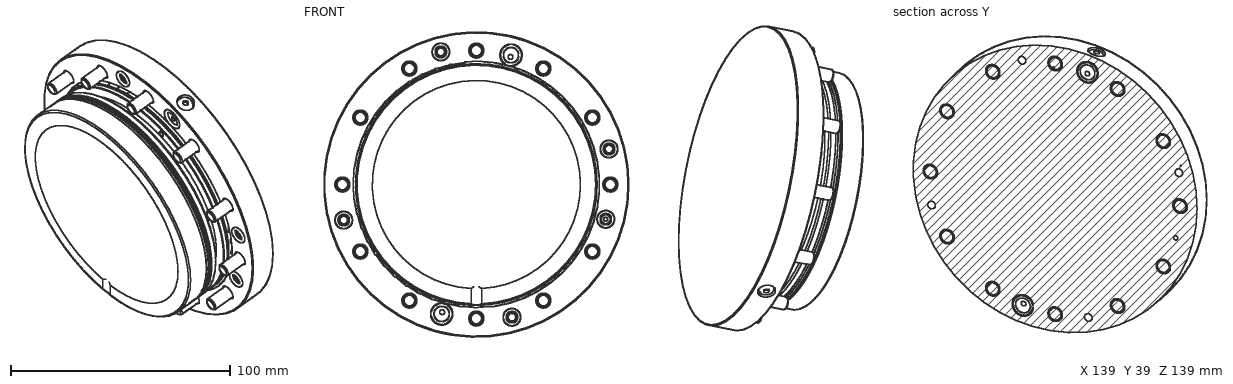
import cadquery as cq
import math


flange_radius = 69.5
flange_thickness = 13.0
flange_chamfer = 0.4

total_length = 39.0
spigot_radius = 55.0
neck_radius = 50.0
shoulder_end = 17.5
shoulder_chamfer = 0.3
neck_end = 21.8
spigot_back_chamfer = 0.8
spigot_end_chamfer = 0.7

barb_start = 25.0
barb_pitch = 1.1
barb_depth = 0.5
barb_wall = 0.3
valley_offsets = (barb_wall, barb_wall, barb_pitch - barb_wall)

recess_rim_radius = 47.4
recess_floor_radius = 45.7
recess_depth = 0.5
relief_width = 4.9

screw_count = 12
bolt_circle_radius = 61.0
screw_diameter = 6.0
screw_tip = 23.9
screw_tip_chamfer = 0.5
clearance_diameter = 6.8
clearance_depth = 2.5

main_port_radius = bolt_circle_radius
small_port_radius = 62.5
small_port_angles = (15, 105, 195, 285)
single_port_angle = -15
main_port_angles = (75, 255)
small_seal_outer = 8.0
main_seal_outer = 9.9
seal_thickness = 1.5
small_seal_standout = 1.3
main_seal_standout = 0.4
small_seat_diameter = 4.9
small_seat_depth = 0.5
main_seat_diameter = 10.1
main_seat_depth = 1.0
small_port_bore = 3.5
single_port_seat = 4.0
single_port_bore = 1.8
main_port_bore = 2.2
main_port_bore_radius = 60.2
port_depth = 7.0

root_seal_outer = 112.3
root_seal_standout = 1.4
root_groove_radius = 54.8
root_groove_end = 15.2

plug_pocket_diameter = 8.0
plug_pocket_depth = 2.2
plug_head_diameter = 7.5
plug_head_flat = 4.9
plug_head_height = 2.0
plug_socket_diameter = 2.5
plug_socket_depth = 1.4
vent_diameter = 2.5
vent_radius = 52.0
vent_depth = 4.2


def at_angle(radius, angle):
    """X and Z of a point on a circle around the Y axis."""
    turn = math.radians(angle)
    return radius * math.cos(turn), radius * math.sin(turn)


def rod(diameter, start, end, radius, angle):
    """Cylinder parallel to the axis, from depth start to depth end behind y = 0."""
    x, z = at_angle(radius, angle)
    length = end - start
    return cq.Workplane(cq.Solid.makeCylinder(
        diameter / 2, length, cq.Vector(x, -start, z), cq.Vector(0, -1, 0)))


def seal(outer_diameter, standout, radius=0, angle=0):
    """O-ring that stands out of the flange face."""
    x, z = at_angle(radius, angle)
    tube_radius = seal_thickness / 2
    y = -(flange_thickness + standout - tube_radius)
    return (
        cq.Workplane("XY", origin=(x, y, z))
        .moveTo(tube_radius - outer_diameter / 2, 0)
        .circle(tube_radius)
        .revolve(360, (0, 0), (0, 1))
    )


def turned_body():
    outline = [
        (0, 0),
        (flange_radius - flange_chamfer, 0),
        (flange_radius, -flange_chamfer),
        (flange_radius, -flange_thickness + flange_chamfer),
        (flange_radius - flange_chamfer, -flange_thickness),
        (root_groove_radius, -flange_thickness),
        (root_groove_radius, -root_groove_end),
        (spigot_radius, -root_groove_end),
        (spigot_radius, -shoulder_end + shoulder_chamfer),
        (spigot_radius - shoulder_chamfer, -shoulder_end),
        (neck_radius, -shoulder_end),
        (neck_radius, -neck_end),
        (spigot_radius - spigot_back_chamfer, -neck_end),
        (spigot_radius, -neck_end - spigot_back_chamfer),
        (spigot_radius, -barb_start),
    ]
    crest = barb_start
    for valley_offset in valley_offsets:
        outline.append((spigot_radius - barb_depth, -crest - valley_offset))
        crest += barb_pitch
        outline.append((spigot_radius, -crest))
    outline += [
        (spigot_radius, -total_length + spigot_end_chamfer),
        (spigot_radius - spigot_end_chamfer, -total_length),
        (recess_rim_radius, -total_length),
    ]
    recess_floor = -total_length + recess_depth
    edge_width = recess_rim_radius - recess_floor_radius
    edge_radius = (edge_width**2 + recess_depth**2) / (2 * recess_depth)
    half_turn = math.asin(edge_width / edge_radius) / 2
    edge_middle = (
        recess_floor_radius + edge_radius * math.sin(half_turn),
        recess_floor - edge_radius * (1 - math.cos(half_turn)),
    )
    return (
        cq.Workplane("XY")
        .polyline(outline)
        .threePointArc(edge_middle, (recess_floor_radius, recess_floor))
        .lineTo(0, recess_floor)
        .close()
        .revolve(360, (0, 0), (0, 1))
    )


def relief_groove():
    """Round-bottomed groove, as deep as the recess, that runs from the recess down to -Z."""
    half_width = relief_width / 2
    return (
        cq.Workplane("XY")
        .workplane(offset=-recess_floor_radius)
        .moveTo(-half_width, -total_length)
        .threePointArc((0, -total_length + recess_depth), (half_width, -total_length))
        .close()
        .extrude(recess_floor_radius - flange_radius)
    )


def screw(angle):
    """Screw end standing in a clearance hole."""
    shank = rod(screw_diameter, flange_thickness - clearance_depth, screw_tip, bolt_circle_radius, angle)
    return shank.faces("<Y").chamfer(screw_tip_chamfer)


def with_rim_plug(body, angle):
    """Pocket in the flange rim that holds a domed plug with a round socket, sunk below the rim."""
    x, z = at_angle(1, angle)
    pocket_floor = flange_radius - plug_pocket_depth
    plane = cq.Plane(
        origin=(pocket_floor * x, -flange_thickness / 2, pocket_floor * z),
        xDir=(0, 1, 0),
        normal=(x, 0, z),
    )
    pocket = cq.Workplane(plane).circle(plug_pocket_diameter / 2).extrude(2 * plug_pocket_depth)
    dome_width = (plug_head_diameter - plug_head_flat) / 2
    dome_middle = (
        plug_head_flat / 2 + dome_width * math.sin(math.pi / 4),
        plug_head_height * math.cos(math.pi / 4),
    )
    side_plane = cq.Plane(origin=plane.origin, xDir=plane.xDir, normal=(z, 0, -x))
    head = (
        cq.Workplane(side_plane)
        .lineTo(plug_head_diameter / 2, 0)
        .threePointArc(dome_middle, (plug_head_flat / 2, plug_head_height))
        .lineTo(0, plug_head_height)
        .close()
        .revolve(360, (0, 0), (0, 1))
    )
    socket = (
        cq.Workplane(plane)
        .workplane(offset=plug_head_height - plug_socket_depth)
        .circle(plug_socket_diameter / 2)
        .extrude(plug_socket_depth)
    )
    return body.cut(pocket).union(head.cut(socket))


def face_hole(diameter, depth, radius, angle):
    """Blind hole from the flange face."""
    return rod(diameter, flange_thickness - depth, flange_thickness, radius, angle)


result = turned_body().cut(relief_groove())

for index in range(screw_count):
    screw_angle = index * 360 / screw_count
    result = result.cut(face_hole(clearance_diameter, clearance_depth, bolt_circle_radius, screw_angle))
    result = result.union(screw(screw_angle))

for port_angle in small_port_angles:
    result = result.union(seal(small_seal_outer, small_seal_standout, small_port_radius, port_angle))
    result = result.cut(face_hole(small_seat_diameter, small_seat_depth, small_port_radius, port_angle))
    result = result.cut(face_hole(small_port_bore, port_depth, small_port_radius, port_angle))

result = result.union(seal(small_seal_outer, small_seal_standout, bolt_circle_radius, single_port_angle))
result = result.cut(face_hole(single_port_seat, small_seat_depth, bolt_circle_radius, single_port_angle))
result = result.cut(face_hole(single_port_bore, port_depth, bolt_circle_radius, single_port_angle))

for port_angle in main_port_angles:
    result = result.cut(face_hole(main_seat_diameter, main_seat_depth, main_port_radius, port_angle))
    result = result.union(seal(main_seal_outer, main_seal_standout, main_port_radius, port_angle))
    result = result.cut(face_hole(main_port_bore, port_depth, main_port_bore_radius, port_angle))
    result = with_rim_plug(result, port_angle)
    result = result.cut(rod(vent_diameter, shoulder_end - vent_depth, shoulder_end, vent_radius, port_angle))

result = result.union(seal(root_seal_outer, root_seal_standout))